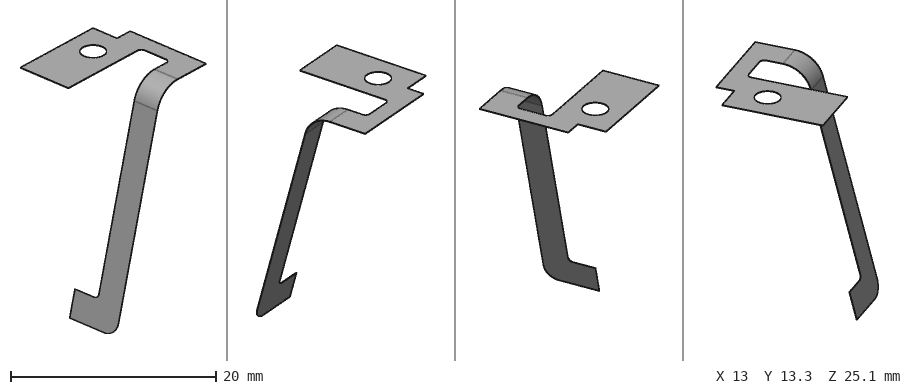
import cadquery as cq
import math

thickness = 0.1
width = 13.0
depth = 13.29
height = 25.07

strip_width = 3.0
plate_width = 6.25
plate_depth = 12.59
bridge_depth = 1.93
notch_width = 3.13
hole_diameter = 2.6
hole_x = 3.13
hole_y = -5.45

bend_angle = 75.0
inner_bend_radius = 3.0
foot_width = 6.02
foot_length = 3.0
inner_corner_radius = 0.5
foot_corner_radius = 1.5

strip_left = width - strip_width
outer_bend_radius = inner_bend_radius + thickness
sin_bend = math.sin(math.radians(bend_angle))
cos_bend = math.cos(math.radians(bend_angle))
bend_drop = outer_bend_radius * (1 - cos_bend)
arm_length = (height - bend_drop - thickness * cos_bend) / sin_bend
bend_start = -(depth - outer_bend_radius * sin_bend - arm_length * cos_bend)


def make_plate():
    """Flat plate joined by a bridge to the strip that leads into the bend."""
    plate = (
        cq.Workplane("XY")
        .moveTo(0, -plate_depth)
        .lineTo(0, -bridge_depth)
        .lineTo(notch_width, -bridge_depth)
        .lineTo(notch_width, 0)
        .lineTo(width, 0)
        .lineTo(width, bend_start)
        .lineTo(strip_left, bend_start)
        .lineTo(strip_left, -bridge_depth)
        .lineTo(plate_width, -bridge_depth)
        .lineTo(plate_width, -plate_depth)
        .close()
        .extrude(-thickness)
    )
    pick_margin = 0.25
    slot_corners = cq.selectors.BoxSelector(
        (plate_width - pick_margin, -bridge_depth - pick_margin, -height),
        (strip_left + pick_margin, -bridge_depth + pick_margin, height),
    )
    plate = plate.edges("|Z").edges(slot_corners).fillet(inner_corner_radius)
    hole = (
        cq.Workplane("XY")
        .center(hole_x, hole_y)
        .circle(hole_diameter / 2)
        .extrude(-thickness)
    )
    return plate.cut(hole)


def bend_point(radius, angle):
    """(Y, Z) of a point on the bend, with the angle counted from the flat plate."""
    turn = math.radians(angle)
    return (
        bend_start - radius * math.sin(turn),
        radius * math.cos(turn) - outer_bend_radius,
    )


def make_bend():
    """Curved strip turning the sheet down from the plate to the arm."""
    return (
        cq.Workplane("YZ", origin=(strip_left, 0, 0))
        .moveTo(*bend_point(outer_bend_radius, 0))
        .threePointArc(
            bend_point(outer_bend_radius, bend_angle / 2),
            bend_point(outer_bend_radius, bend_angle),
        )
        .lineTo(*bend_point(inner_bend_radius, bend_angle))
        .threePointArc(
            bend_point(inner_bend_radius, bend_angle / 2),
            bend_point(inner_bend_radius, 0),
        )
        .close()
        .extrude(strip_width)
    )


def make_arm():
    """Sloping L-shaped arm, drawn on its outer face with local Y up the slope."""
    start_y, start_z = bend_point(outer_bend_radius, bend_angle)
    outer_face = cq.Plane(
        origin=(0, start_y, start_z),
        xDir=(1, 0, 0),
        normal=(0, -sin_bend, cos_bend),
    )
    foot_top = foot_length - arm_length
    foot_left = width - foot_width
    arm = (
        cq.Workplane(outer_face)
        .moveTo(strip_left, 0)
        .lineTo(width, 0)
        .lineTo(width, -arm_length)
        .lineTo(foot_left, -arm_length)
        .lineTo(foot_left, foot_top)
        .lineTo(strip_left, foot_top)
        .close()
        .extrude(-thickness)
    )

    def edge_at(x, y):
        middle = outer_face.toWorldCoords((x, y, -thickness / 2))
        return cq.selectors.NearestToPointSelector(middle.toTuple())

    arm = arm.edges(edge_at(width, -arm_length)).fillet(foot_corner_radius)
    return arm.edges(edge_at(strip_left, foot_top)).fillet(inner_corner_radius)


result = make_plate().union(make_bend()).union(make_arm())